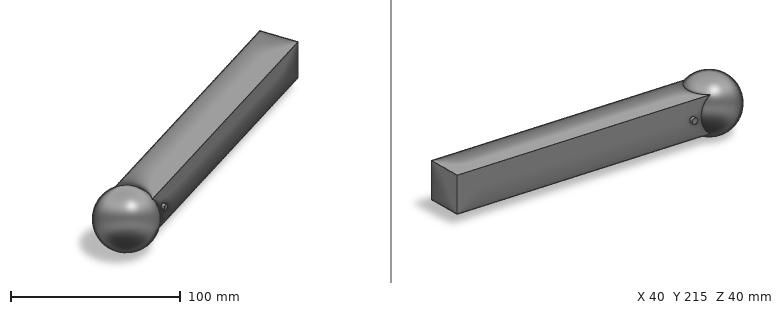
import cadquery as cq

total_length = 215.0
ball_diameter = 40.0
bar_width = 25.4
pin_diameter = 4.0
pin_length = 30.0
pin_from_ball_tip = 41.7

ball_radius = ball_diameter / 2
bar_length = total_length - ball_radius
pin_y = pin_from_ball_tip - ball_radius


def make_pin():
    """Cross pin along X, standing out equally from both sides of the bar."""
    return (
        cq.Workplane("YZ")
        .center(pin_y, 0)
        .circle(pin_diameter / 2)
        .extrude(pin_length / 2, both=True)
    )


def make_handle(cross_pin):
    """Square bar with a ball end and a cross hole that fits the pin."""
    bar = cq.Workplane("XY").box(
        bar_width, bar_length, bar_width, centered=(True, False, True)
    )
    ball = cq.Workplane("XZ").sphere(ball_radius)
    return bar.union(ball).cut(cross_pin)


pin = make_pin()
handle = make_handle(pin)

result = cq.Compound.makeCompound([handle.solids().val(), pin.val()])